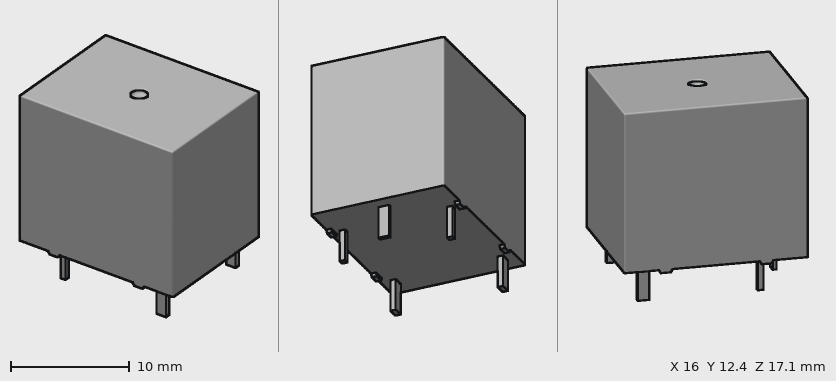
import cadquery as cq

length = 16.0
width = 12.41
overall_height = 17.1
pin_drop = 2.9
housing_height = overall_height - pin_drop
edge_radius = 0.15

dimple_radius = 0.75
dimple_depth = 0.5
dimple_rim_radius = 0.15
dimple_floor_radius = 0.36

foot_height = 0.27
foot_top_length = 1.2
foot_bottom_length = 0.85
foot_width = 0.46
foot_x = 4.4

pin_row_y = 5.0
common_pin = (0.35, 1.0)
coil_pin = (0.5, 0.5)
contact_pin = (1.0, 0.5)
common_pin_x = -6.62
coil_pin_x = -4.12
contact_pin_x = 6.07


def make_housing():
    """Box with rounded top and vertical edges and a sharp bottom rim."""
    box = cq.Workplane("XY").box(length, width, housing_height, centered=(True, True, False))
    return box.edges("|Z or >Z").fillet(edge_radius)


def make_dimple():
    """Blind round recess with a rounded floor and a flared, rounded rim."""
    floor_z = housing_height - dimple_depth
    rim_z = housing_height - dimple_rim_radius
    bowl = (
        cq.Workplane("XY", origin=(0, 0, floor_z))
        .circle(dimple_radius)
        .extrude(dimple_depth)
        .faces("<Z")
        .edges()
        .fillet(dimple_floor_radius)
    )
    flare = (
        cq.Workplane("XZ")
        .moveTo(0, rim_z)
        .lineTo(dimple_radius, rim_z)
        .radiusArc((dimple_radius + dimple_rim_radius, housing_height), dimple_rim_radius)
        .lineTo(0, housing_height)
        .close()
        .revolve(360, (0, 0, 0), (0, 1, 0))
    )
    return bowl.union(flare)


def make_foot(x, side):
    """Foot under the housing; side is -1 or +1 for the -Y or +Y long side."""
    profile = [
        (x - foot_top_length / 2, 0),
        (x - foot_bottom_length / 2, -foot_height),
        (x + foot_bottom_length / 2, -foot_height),
        (x + foot_top_length / 2, 0),
    ]
    centre_y = side * (width - foot_width) / 2
    return (
        cq.Workplane("XZ", origin=(0, centre_y, 0))
        .polyline(profile)
        .close()
        .extrude(foot_width / 2, both=True)
    )


def make_pin(x, y, section):
    """Rectangular pin hanging from the housing bottom; section is its X and Y size."""
    return cq.Workplane("XY").center(x, y).rect(*section).extrude(-pin_drop)


result = make_housing().cut(make_dimple())
result = result.union(make_pin(common_pin_x, 0, common_pin))
for side in (-1, 1):
    result = result.union(make_pin(coil_pin_x, side * pin_row_y, coil_pin))
    result = result.union(make_pin(contact_pin_x, side * pin_row_y, contact_pin))
    for x in (-foot_x, foot_x):
        result = result.union(make_foot(x, side))